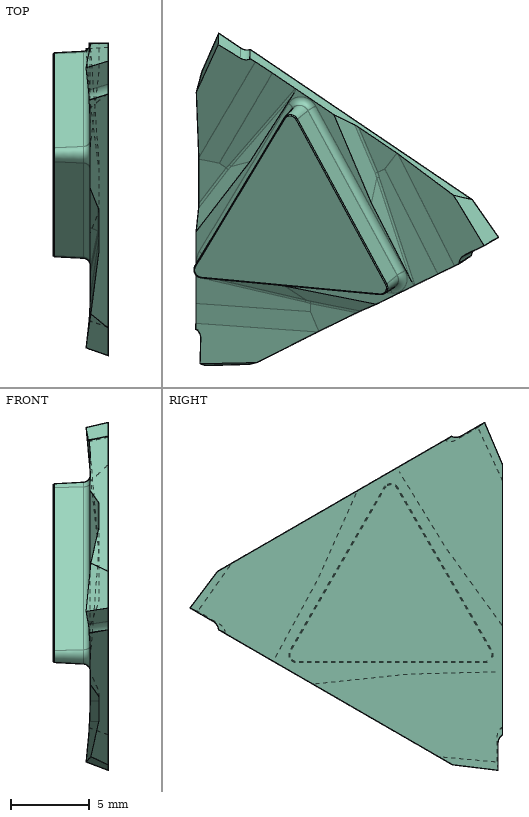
import cadquery as cq
import math


OVERALL_LENGTH = 22.15
TOTAL_HEIGHT = 3.5
EDGE_INRADIUS = 7.1
BIG = 66.45
CUT_MARGIN = 2.22
TIP_BLANK_HEIGHT = 2.0
PLATE_TURN = 90
TURN_ANGLES = (0, 120, 240)

TIP_ACROSS = -6.82
TIP_UP = -(OVERALL_LENGTH - abs(TIP_ACROSS) * math.sin(math.radians(60))) / 1.5
END_FACE_RUN = 14.0
END_FACE_RISE = 1.7
END_FACE_RELIEF = 20.5
SIDE_RELIEF_DEPTH = EDGE_INRADIUS + TIP_ACROSS
SIDE_RELIEF_LENGTH = 1.6
SIDE_RELIEF_RUNOUT = 0.53
SIDE_RELIEF_DRAFT = 2.6

PLATEAU_HEIGHT = 1.15
GROOVE_FLOOR = 0.6
GROOVE_FALL = 0.074
INNER_CREASE_UP = -6.4
OUTER_CREASE_UP = -7.7
GROOVE_LIMIT_UP = -4.52
MIDDLE_SLOPE = 0.033
TIP_SLOPE = 0.095

WALL_CORNER = (PLATEAU_HEIGHT, -7.1, -4.55)
WALL_BREAK = (PLATEAU_HEIGHT, -1.15, -4.7)
WALL_FLOOR_START = (GROOVE_FLOOR, 0.25, -5.75)
WALL_FLOOR_END = (GROOVE_FLOOR, 3.43, -6.1)
WALL_FOOT_RADIUS = 0.33
WALL_FOOT_TOLERANCE = 0.07

BOSS_INRADIUS = 3.96
BOSS_CORNER_RADIUS = 0.5
BOSS_DRAFT = 3.0
BOSS_TOP_CHAMFER = 0.07
BOSS_ROOT_RADIUS = 0.45
ROOT_TOLERANCE = 0.02


def point(height, across, up):
    return cq.Vector(-height, -across, up)


def half_space(origin, normal):
    """Block filling the side of a plane that its normal points to."""
    plane = cq.Plane(origin=origin, normal=normal)
    return cq.Workplane(plane).rect(BIG, BIG).extrude(BIG)


def space_above(first, second, third):
    """Half space on the outer (-X) side of the plane through three points."""
    start = point(*first)
    normal = (point(*second) - start).cross(point(*third) - start)
    if normal.x > 0:
        normal = normal * -1
    return half_space(start, normal)


def space_above_slope(height, up, slope):
    """Half space above a groove face that falls across and rises downwards."""
    origin = point(height, -EDGE_INRADIUS, up)
    normal = cq.Vector(-1, -GROOVE_FALL, slope)
    return half_space(origin, normal)


def turned(body, angle):
    return body.rotate((0, 0, 0), (1, 0, 0), angle)


def triangle(inradius, base_height):
    """Equilateral triangle standing upright, sketched on a plane facing -X."""
    half_side = inradius * math.sqrt(3)
    plane = cq.Plane(origin=point(base_height, 0, 0), xDir=(0, -1, 0), normal=(-1, 0, 0))
    corners = [(-half_side, -inradius), (half_side, -inradius), (0, 2 * inradius)]
    return cq.Workplane(plane).polyline(corners).close()


def make_blank():
    """Plate with raised tip areas, drafted boss and root fillet."""
    boss_height = TOTAL_HEIGHT - PLATEAU_HEIGHT
    growth = boss_height * math.tan(math.radians(BOSS_DRAFT))
    root_inradius = BOSS_INRADIUS + growth
    core = triangle(BOSS_INRADIUS - BOSS_CORNER_RADIUS, PLATEAU_HEIGHT)
    boss = core.offset2D(BOSS_CORNER_RADIUS + growth).extrude(boss_height, taper=BOSS_DRAFT)
    boss = boss.faces("<X").edges().chamfer(BOSS_TOP_CHAMFER)

    reach = 2 * root_inradius
    root_zone = cq.selectors.BoxSelector(
        (-PLATEAU_HEIGHT - ROOT_TOLERANCE, -reach, -reach),
        (-PLATEAU_HEIGHT + ROOT_TOLERANCE, reach, reach),
    )
    floor = half_space(point(PLATEAU_HEIGHT, 0, 0), (1, 0, 0))
    raised_boss = floor.union(boss).edges(root_zone).fillet(BOSS_ROOT_RADIUS)

    plate = turned(triangle(EDGE_INRADIUS, 0).extrude(TOTAL_HEIGHT), PLATE_TURN)
    tip_areas = triangle(2 * EDGE_INRADIUS, 0).extrude(TIP_BLANK_HEIGHT)
    tip_areas = tip_areas.cut(triangle(-INNER_CREASE_UP, 0).extrude(TIP_BLANK_HEIGHT))
    return plate.intersect(raised_boss.union(tip_areas))


def chip_groove():
    """Space above the groove floor, its three sloping faces and its two-part wall."""
    outer_height = PLATEAU_HEIGHT + MIDDLE_SLOPE * (INNER_CREASE_UP - OUTER_CREASE_UP)
    groove = half_space(point(GROOVE_FLOOR, 0, 0), (-1, 0, 0))
    bounds = (
        half_space(point(0, 0, GROOVE_LIMIT_UP), (0, 0, -1)),
        space_above_slope(PLATEAU_HEIGHT, INNER_CREASE_UP, 0),
        space_above_slope(PLATEAU_HEIGHT, INNER_CREASE_UP, MIDDLE_SLOPE),
        space_above_slope(outer_height, OUTER_CREASE_UP, TIP_SLOPE),
        space_above(WALL_CORNER, WALL_BREAK, WALL_FLOOR_START),
        space_above(WALL_BREAK, WALL_FLOOR_START, WALL_FLOOR_END),
    )
    for bound in bounds:
        groove = groove.intersect(bound)

    floor_start = point(*WALL_FLOOR_START)
    foot_points = [
        cq.Vertex.makeVertex(*((floor_start + point(*end)) * 0.5).toTuple())
        for end in (WALL_CORNER, WALL_FLOOR_END)
    ]

    def is_wall_foot(edge):
        return min(edge.distance(foot) for foot in foot_points) < WALL_FOOT_TOLERANCE

    return groove.edges().filter(is_wall_foot).fillet(WALL_FOOT_RADIUS)


def tip_end():
    """Space below the inclined end face of the tip."""
    lean = math.tan(math.radians(END_FACE_RELIEF))
    normal = cq.Vector(-lean, -END_FACE_RISE / END_FACE_RUN, -1)
    return half_space(point(0, TIP_ACROSS, TIP_UP), normal)


def side_relief():
    """Shallow step beside the tip, ending in a round run-out and leaning with the end face."""
    lean = math.tan(math.radians(END_FACE_RELIEF))
    draft = math.tan(math.radians(SIDE_RELIEF_DRAFT))
    plane = cq.Plane(
        origin=point(0, TIP_ACROSS, TIP_UP),
        xDir=(draft, -1, 0),
        normal=point(1, draft, lean),
    )
    radius = (SIDE_RELIEF_RUNOUT**2 + SIDE_RELIEF_DEPTH**2) / (2 * SIDE_RELIEF_DEPTH)
    runout_end = (-SIDE_RELIEF_DEPTH, SIDE_RELIEF_LENGTH + SIDE_RELIEF_RUNOUT)
    return (
        cq.Workplane(plane)
        .moveTo(0, -CUT_MARGIN)
        .lineTo(0, SIDE_RELIEF_LENGTH)
        .radiusArc(runout_end, -radius)
        .lineTo(-CUT_MARGIN, runout_end[1])
        .lineTo(-CUT_MARGIN, -CUT_MARGIN)
        .close()
        .extrude(TOTAL_HEIGHT, both=True)
    )


result = make_blank()
for cutter in (chip_groove(), tip_end(), side_relief()):
    for angle in TURN_ANGLES:
        result = result.cut(turned(cutter, angle))